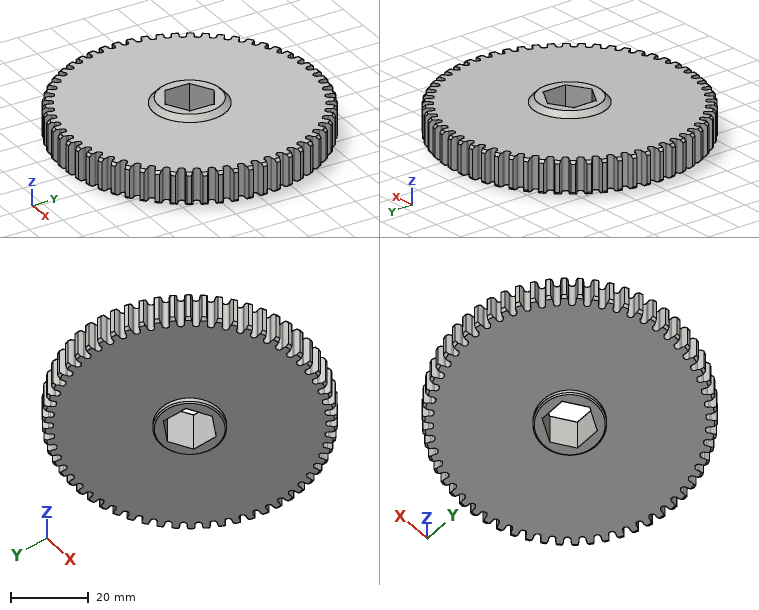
import cadquery as cq
import math

tip_diameter = 76.2
tooth_count = 58
face_width = 9.5
tip_chamfer = 0.8

module = tip_diameter / (tooth_count + 2)
pitch_radius = module * tooth_count / 2
pressure_angle = math.radians(14.5)
base_radius = pitch_radius * math.cos(pressure_angle)
gap_width = 2.05
flank_start = 36.5
root_radius = 35.1
cutter_overrun = 0.4

hub_height = 1.6
upper_hub_base_diameter = 21.4
upper_hub_top_diameter = 18.4
lower_hub_diameter = 19.05
lower_hub_chamfer = 0.4
hex_across_flats = 12.7


def involute(angle):
    return math.tan(angle) - angle


def flank_point(radius):
    """Point on the +Y flank of a tooth gap whose centre line is the X axis."""
    local_pressure_angle = math.acos(base_radius / radius)
    half_angle = gap_width / (2 * pitch_radius) + involute(local_pressure_angle) - involute(pressure_angle)
    return radius * math.cos(half_angle), radius * math.sin(half_angle)


def mirrored(point):
    return point[0], -point[1]


def gap_cutter():
    """One tooth gap on the +X side: round root, short parallel walls, involute flanks."""
    outer_radius = tip_diameter / 2 + cutter_overrun
    inner_point = flank_point(flank_start)
    middle_point = flank_point((flank_start + outer_radius) / 2)
    outer_point = flank_point(outer_radius)
    slot_half_width = inner_point[1]
    arc_end = (root_radius + slot_half_width, slot_half_width)
    return (
        cq.Workplane("XY", origin=(0, 0, -face_width / 2 - cutter_overrun))
        .moveTo(*outer_point)
        .threePointArc(middle_point, inner_point)
        .lineTo(*arc_end)
        .threePointArc((root_radius, 0), mirrored(arc_end))
        .lineTo(*mirrored(inner_point))
        .threePointArc(mirrored(middle_point), mirrored(outer_point))
        .close()
        .extrude(face_width + 2 * cutter_overrun)
        .val()
    )


def toothed_wheel():
    """Chamfered disc with the gaps cut so that a tooth is centred on +X."""
    pitch_angle = 360 / tooth_count
    blank = cq.Workplane("XY").circle(tip_diameter / 2).extrude(face_width / 2, both=True)
    blank = blank.faces("|Z").edges().chamfer(tip_chamfer)
    cutter = gap_cutter()
    gaps = [
        cutter.rotate(cq.Vector(0, 0, 0), cq.Vector(0, 0, 1), (index + 0.5) * pitch_angle)
        for index in range(tooth_count)
    ]
    return blank.cut(cq.Workplane(cq.Compound.makeCompound(gaps)))


def upper_hub():
    """Cone frustum standing on the upper face of the wheel."""
    frustum = cq.Solid.makeCone(
        upper_hub_base_diameter / 2,
        upper_hub_top_diameter / 2,
        hub_height,
        pnt=cq.Vector(0, 0, face_width / 2),
    )
    return cq.Workplane(frustum)


def lower_hub():
    """Round boss below the wheel, with a chamfered lower rim."""
    hub = cq.Workplane("XY").circle(lower_hub_diameter / 2).extrude(-face_width / 2 - hub_height)
    return hub.faces("<Z").edges().chamfer(lower_hub_chamfer)


def hex_bore():
    """Through bore with two corners on the Y axis."""
    return (
        cq.Workplane("XY")
        .polygon(6, hex_across_flats / math.cos(math.radians(30)))
        .extrude(face_width / 2 + hub_height, both=True)
        .rotate((0, 0, 0), (0, 0, 1), 30)
    )


result = toothed_wheel().union(upper_hub()).union(lower_hub()).cut(hex_bore())